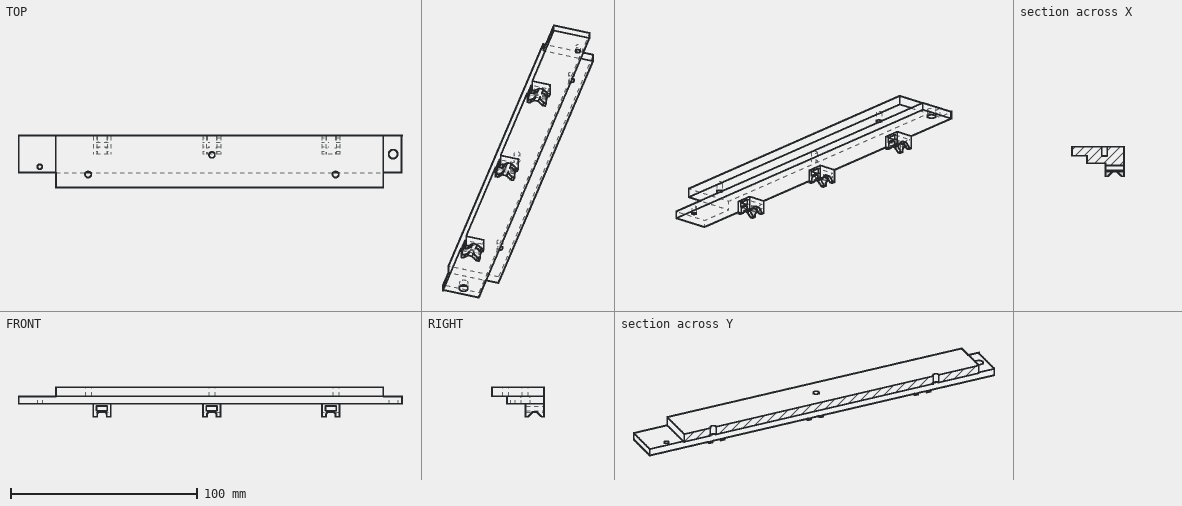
import cadquery as cq

rail_length = 206.3
cover_width = 28.06

rail_width = 20.0
rail_thickness = 4.0
lip_length = 0.5
lip_width = 0.3

cover_thickness = 5.0
cover_start = 20.0
cover_length = 176.0

saddle_length = 9.5
saddle_width = 10.0
saddle_height = 7.0
saddle_centers_x = (44.8, 103.8, 167.8)
tie_slot_width = 5.6
tie_slot_height = 2.5
tie_slot_drop = 1.2
groove_depth = 2.5
tunnel_width = 5.0
tunnel_corner_radius = 1.2
cradle_mouth_width = 7.2
cradle_roof_width = 2.4

cover_hole_diameter = 3.2
cover_holes = ((37.4, -21.0), (103.9, -10.5), (170.4, -21.0))
pin_hole_diameter = 2.5
pin_hole = (11.4, -16.9)
mount_hole_diameter = 4.7
mount_hole = (201.3, -10.1)

rail_bottom = saddle_height
rail_top = rail_bottom + rail_thickness
cover_top = rail_top + cover_thickness


def block(x_start, length, y_back, width, z_bottom, height):
    """Box reaching from its back face toward -Y."""
    corner = (x_start, y_back - width, z_bottom)
    return cq.Workplane("XY").box(length, width, height, centered=False).translate(corner)


def through_hole(center, diameter):
    """Vertical cutter through the full height of the part."""
    return cq.Workplane("XY").center(*center).circle(diameter / 2).extrude(cover_top)


def make_rail():
    """Rail with the thin lip at the +X end of its back edge."""
    body = block(0, rail_length - lip_length, 0, rail_width, rail_bottom, rail_thickness)
    lip = block(0, rail_length, 0, lip_width, rail_bottom, rail_thickness)
    return body.union(lip)


def make_tunnel(center_x):
    """Cutter along Y for the groove with rounded upper corners."""
    tunnel = block(center_x - tunnel_width / 2, tunnel_width, 0, saddle_width, 0, groove_depth)
    return tunnel.edges("|Y and >Z").fillet(tunnel_corner_radius)


def make_cradle(center_x):
    """Cutter along X for the groove that tapers toward its roof."""
    outline = (
        (-cradle_mouth_width / 2, 0),
        (-cradle_roof_width / 2, groove_depth),
        (cradle_roof_width / 2, groove_depth),
        (cradle_mouth_width / 2, 0),
    )
    origin = (center_x - saddle_length / 2, -saddle_width / 2, 0)
    return cq.Workplane("YZ", origin=origin).polyline(outline).close().extrude(saddle_length)


def make_saddle(center_x):
    """Foot with a cable-tie slot and two crossing grooves."""
    foot = block(center_x - saddle_length / 2, saddle_length, 0, saddle_width, 0, saddle_height)
    slot_bottom = saddle_height - tie_slot_drop - tie_slot_height
    slot_start = center_x - tie_slot_width / 2
    slot = block(slot_start, tie_slot_width, 0, saddle_width, slot_bottom, tie_slot_height)
    return foot.cut(slot).cut(make_tunnel(center_x)).cut(make_cradle(center_x))


def make_cover():
    """Wide top layer with its screw holes, which stop at the rail."""
    cover = block(cover_start, cover_length, 0, cover_width, rail_top, cover_thickness)
    for hole in cover_holes:
        cover = cover.cut(through_hole(hole, cover_hole_diameter))
    return cover


result = make_rail()
result = result.cut(through_hole(pin_hole, pin_hole_diameter))
result = result.cut(through_hole(mount_hole, mount_hole_diameter))
result = result.union(make_cover())
for saddle_x in saddle_centers_x:
    result = result.union(make_saddle(saddle_x))